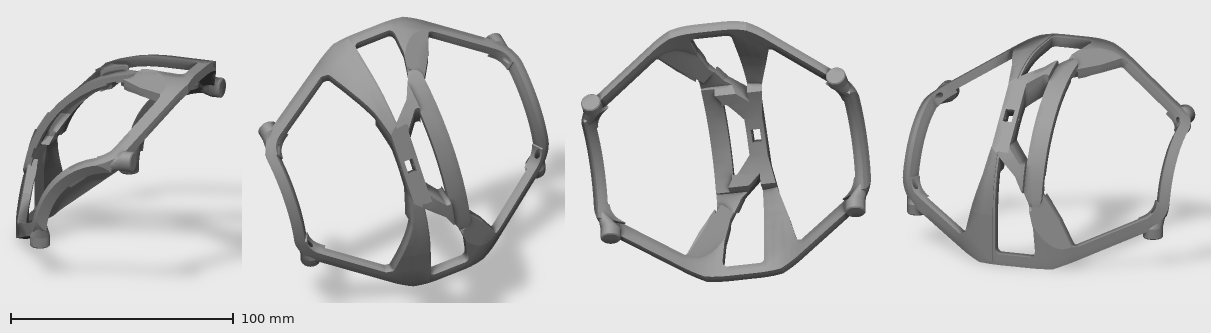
import cadquery as cq
import math


SIZE = 84.48
HALF_WIDTH = 63.5
HEADROOM = 5.0
CORE_DEPTH = 48.0
PRISM_LENGTH = 80.0
STRAIGHT_LENGTH = 40.0

RIB_BEND = 61.5
SIDE_BEND = 66.0
STRAP_BEND = 63.5
BEND_CHANGE_Y = 40.0

CREST_DEPTH = 0.3
CREST_HALF = 7.0
SHOULDER_RADIUS = 36.0
FLANK_ANGLE = math.radians(31.0)
FLANK_SLOPE = math.tan(FLANK_ANGLE)
SHOULDER_Y = CREST_HALF + SHOULDER_RADIUS * math.sin(FLANK_ANGLE)
SHOULDER_DEPTH = CREST_DEPTH + SHOULDER_RADIUS * (1 - math.cos(FLANK_ANGLE))

FRAME_THICK = 4.5
SIDE_THICK = 6.2
SIDE_END_X = 64.0
RIB_FLOOR = 9.5
RELIEF_START = 43.0

RIM_HALF = 17.5
RIM_INNER_X = 79.4
RIM_CORNER = 15.0
WING_KNEE = (81.5, 25.5)
WING_SLOPE = 0.417
WING_WIDTH = 6.3

SIDE_EDGE = 59.4
SIDE_CORNER = 9.0
OPENING_FREE_X = 56.5
WING_TURN_Y = 28.5
RIB_CORNER = 1.5
WINDOW_START_X = 10.0

PLATE_MIN, PLATE_MAX = 5.7, 13.9
PLATE_LEVEL = 20.3
FLAT_LENGTH, FLAT_MARGIN, FLAT_HEIGHT = 50.0, 0.4, 10.0
SLOT_Y = (PLATE_MIN + PLATE_MAX) / 2 + 0.1
SLOT_LENGTH, SLOT_WIDTH, SLOT_DEPTH = 6.2, 4.2, 10.0
PIN_DIAMETER, PIN_DEPTH, PIN_REACH = 1.5, 2.5, 8.0

STRAP_MIN, STRAP_MAX = -11.7, -3.2
STRAP_TOP, STRAP_FLOOR = 2.1, 5.4
STRAP_END = 56.6
STRAP_RUNOUT = 2.6
STRAP_END_DROP = 0.6
STRAP_FREE_START, STRAP_FREE_END = 39.5, 53.5
STRAP_RADIUS = (STRAP_MAX - STRAP_MIN) / 2
STRAP_CENTRE = (STRAP_END - STRAP_RADIUS, (STRAP_MIN + STRAP_MAX) / 2)

STRAIGHT_RIB = [(WINDOW_START_X, PLATE_MAX), (31.5, PLATE_MAX), (43.9, 16.6), (57.0, 21.0), (72.5, 25.5)]
BRANCH_RIB = [(WINDOW_START_X, STRAP_MIN), (51.0, STRAP_MIN), (62.2, -19.2), (74.5, -25.5)]
FALL_EDGE = 5.3
FALL_WIDTH = 9.5
FALL_OVERRUN = 3.0
RIDGE_Y = 10.4
RIDGE_FOOT = 18.0
RIDGE_ROOT = 1.0
RIDGE_END = 83.0

CENTRE_TOP, CENTRE_BOTTOM = 9.5, -9.3
BRANCH_EDGE = [(76.0, -9.6), (65.7, -8.7), (55.0, -5.7), (43.0, 0.9), (34.3, 8.0), (30.0, 9.0)]
CENTRE_CORNER = 2.2
ROOT_EDGE = [(0.0, 15.2), (28.0, 15.2), (45.0, -2.0), (0.0, -2.0)]
ROOT_LEAN, ROOT_DEPTH = 9.5, 30.0
SMALL_END_X = 38.0
SMALL_TURN = [(31.0, PLATE_MIN), (SMALL_END_X, -0.9)]
SMALL_CORNER = 1.0

BOSS_Y, BOSS_Z = 56.1, -28.0
BOSS_DIAMETER = 9.0
BOSS_START, BOSS_END = 68.0, 73.0
BOSS_CHAMFER = 0.5
GUSSET_TIP = (59.0, 60.6, -31.0)
GUSSET_DIAMETER = 2.5
HOLE_Y, HOLE_Z = 56.7, -27.2
HOLE_DIAMETER = 2.6
HOLE_START, HOLE_END = 56.0, 65.0


def flank_depth(y):
    """Depth of the sloping flank at a distance y from the middle."""
    return SHOULDER_DEPTH + (y - SHOULDER_Y) * FLANK_SLOPE


def section(axis):
    """Y-Z plane at the start of a bend."""
    return cq.Workplane("YZ", origin=(axis, 0, 0))


def bend(outline, axis):
    """Run a closed Y-Z outline along X and around the bend, as far as the diagonal plane."""
    wire = outline.val()
    straight = section(axis).add(wire).toPending().extrude(STRAIGHT_LENGTH)
    curved = section(axis).add(wire).toPending().revolve(45, (0, -axis, 0), (-1, -axis, 0))
    return straight.union(curved)


def prism(points):
    """Upright prism through the shell."""
    return cq.Workplane("XY", origin=(0, 0, HEADROOM)).polyline(points).close().extrude(-PRISM_LENGTH)


def round_upright(body, x, y, radius):
    """Round the upright edge of a prism at a corner."""
    middle = (x, y, HEADROOM - PRISM_LENGTH / 2)
    return body.edges(cq.selectors.NearestToPointSelector(middle)).fillet(radius)


def near_x(limit):
    """Block that holds everything up to a given X."""
    return cq.Workplane("XY").box(2 * limit, 4 * HALF_WIDTH, 4 * SIZE)


def middle_block():
    """Block that holds the ribs and leaves out the two sides."""
    return cq.Workplane("XY").box(4 * SIZE, 2 * BEND_CHANGE_Y, 4 * SIZE)


def crest_outline(axis, shift):
    """Area from the outer surface, lowered by shift, down to the core depth."""
    mid_angle = FLANK_ANGLE / 2
    arc_y = CREST_HALF + SHOULDER_RADIUS * math.sin(mid_angle)
    arc_z = -CREST_DEPTH - SHOULDER_RADIUS * (1 - math.cos(mid_angle)) - shift
    crest_z = -CREST_DEPTH - shift
    shoulder_z = -SHOULDER_DEPTH - shift
    end_z = -flank_depth(HALF_WIDTH) - shift
    return (
        section(axis)
        .moveTo(-HALF_WIDTH, end_z)
        .lineTo(-SHOULDER_Y, shoulder_z)
        .threePointArc((-arc_y, arc_z), (-CREST_HALF, crest_z))
        .lineTo(CREST_HALF, crest_z)
        .threePointArc((arc_y, arc_z), (SHOULDER_Y, shoulder_z))
        .lineTo(HALF_WIDTH, end_z)
        .lineTo(HALF_WIDTH, -CORE_DEPTH)
        .lineTo(-HALF_WIDTH, -CORE_DEPTH)
        .close()
    )


def below_surface(axis, shift):
    """Everything under the outer surface, lowered by shift."""
    return bend(crest_outline(axis, shift), axis)


def leaning_wall(edge_y, axis):
    """Space between two side walls, square to the flanks, whose outer edges lie at +-edge_y."""
    top_y = edge_y + FLANK_SLOPE * (flank_depth(edge_y) + HEADROOM)
    low_y = edge_y - FLANK_SLOPE * (CORE_DEPTH - flank_depth(edge_y))
    points = [(-top_y, HEADROOM), (top_y, HEADROOM), (low_y, -CORE_DEPTH), (-low_y, -CORE_DEPTH)]
    return bend(section(axis).polyline(points).close(), axis)


def rib_shell():
    floor_middle = (RIB_FLOOR + CORE_DEPTH) / 2
    floor = section(RIB_BEND).moveTo(0, -floor_middle).rect(2 * HALF_WIDTH, CORE_DEPTH - RIB_FLOOR)
    core = below_surface(RIB_BEND, FRAME_THICK).intersect(bend(floor, RIB_BEND))
    return below_surface(RIB_BEND, 0).cut(core)


def side_shell():
    body = below_surface(SIDE_BEND, 0).cut(below_surface(SIDE_BEND, SIDE_THICK))
    body = body.cut(crest_outline(SIDE_END_X, FRAME_THICK).extrude(STRAIGHT_LENGTH))
    return body.intersect(leaning_wall(HALF_WIDTH, SIDE_BEND))


def shell():
    return rib_shell().intersect(middle_block()).union(side_shell().cut(middle_block()))


def ridge():
    """Raised edge along the straight rib, tangent-like to the shoulder at its foot."""
    shoulder_reach = math.sqrt(SHOULDER_RADIUS ** 2 - (RIDGE_FOOT - CREST_HALF) ** 2)
    foot_z = shoulder_reach - CREST_DEPTH - SHOULDER_RADIUS
    root_z = foot_z - RIDGE_ROOT
    points = [(RIDGE_Y, 0), (RIDGE_FOOT, foot_z), (RIDGE_FOOT, root_z), (RIDGE_Y, root_z)]
    return bend(section(RIB_BEND).polyline(points).close(), RIB_BEND).intersect(near_x(RIDGE_END))


def rim_blank():
    """Upright prism inside the outer edge of the rim."""
    knee_x, knee_y = WING_KNEE
    side_x = knee_x - (HALF_WIDTH - knee_y) * WING_SLOPE
    half_edge = [(SIZE, RIM_HALF), WING_KNEE, (side_x, HALF_WIDTH), (0, HALF_WIDTH)]
    blank = prism(half_edge + [(x, -y) for x, y in reversed(half_edge)])
    for side in (-1, 1):
        blank = round_upright(blank, side_x, side * HALF_WIDTH, RIM_CORNER)
    return blank


def wing_line(y):
    """X of the inner edge of a wing bar."""
    knee_x, knee_y = WING_KNEE
    return knee_x - WING_WIDTH - (y - knee_y) * WING_SLOPE


def frame_opening(side):
    """Space inside the wing bar and the side; its walls stand square to the sloping flank."""
    start_x = OPENING_FREE_X - 2 * SIDE_CORNER
    outline = [(start_x, 0), (wing_line(0), 0), (wing_line(SIDE_EDGE), SIDE_EDGE), (start_x, SIDE_EDGE)]
    base = [(x, side * (y + FLANK_SLOPE * (flank_depth(y) + HEADROOM))) for x, y in outline]
    wire = cq.Workplane("XY", origin=(0, 0, HEADROOM)).polyline(base).close().val()
    lean = cq.Vector(0, -side * FLANK_SLOPE * PRISM_LENGTH, -PRISM_LENGTH)
    wing = cq.Workplane(cq.Solid.extrudeLinear(wire, [], lean))
    corner = cq.Vector(*base[2], HEADROOM) + lean * 0.5
    wing = wing.edges(cq.selectors.NearestToPointSelector(corner.toTuple())).fillet(SIDE_CORNER)
    return leaning_wall(SIDE_EDGE, SIDE_BEND).intersect(wing.union(near_x(OPENING_FREE_X)))


def side_window(rib_edge, side):
    """Window between a rib edge and the side of the frame."""
    turn = (wing_line(WING_TURN_Y), side * WING_TURN_Y)
    far_edge = [(wing_line(HALF_WIDTH), side * HALF_WIDTH), (WINDOW_START_X, side * HALF_WIDTH)]
    window = prism(rib_edge + [turn] + far_edge)
    for x, y in (rib_edge[-1], turn):
        window = round_upright(window, x, y, RIB_CORNER)
    return window.intersect(frame_opening(side))


def branch_root():
    """Wedge that leans the end of the centre window towards the bend axis."""
    low_edge = [(x + ROOT_LEAN if x > 0 else x, y) for x, y in ROOT_EDGE]
    top = cq.Workplane("XY").polyline(ROOT_EDGE).close()
    return top.workplane(offset=-ROOT_DEPTH).polyline(low_edge).close().loft(ruled=True)


def centre_window():
    """Window between the straight rib, the rim and the branch rib."""
    start_x = BRANCH_EDGE[-1][0]
    rim_edge = [(start_x, CENTRE_TOP), (RIM_INNER_X, CENTRE_TOP), (RIM_INNER_X, CENTRE_BOTTOM)]
    window = prism(rim_edge + BRANCH_EDGE).cut(branch_root())
    for x, y in rim_edge[1:]:
        window = round_upright(window, x, y, CENTRE_CORNER)
    return window


def small_window():
    """Window between the plate, the branch rib and the strap."""
    strap_edge = [(SMALL_END_X, STRAP_MAX), (WINDOW_START_X, STRAP_MAX)]
    window = prism([(WINDOW_START_X, PLATE_MIN)] + SMALL_TURN + strap_edge)
    for x, y in (SMALL_TURN[-1], strap_edge[0]):
        window = round_upright(window, x, y, SMALL_CORNER)
    return window


def strap_plan():
    """Upright prism over the strap, with its rounded end."""
    centre_x = STRAP_CENTRE[0]
    plan = prism([(WINDOW_START_X, STRAP_MIN), (centre_x, STRAP_MIN),
                  (centre_x, STRAP_MAX), (WINDOW_START_X, STRAP_MAX)])
    end = cq.Workplane("XY", origin=(*STRAP_CENTRE, HEADROOM)).circle(STRAP_RADIUS)
    return plan.union(end.extrude(-PRISM_LENGTH))


def strap_recess():
    """Room above the strap, with a sloping run-out around its rounded end."""
    points = [(STRAP_MIN, HEADROOM), (STRAP_MAX, HEADROOM), (STRAP_MAX, -STRAP_TOP), (STRAP_MIN, -STRAP_TOP)]
    band = bend(section(STRAP_BEND).polyline(points).close(), STRAP_BEND)
    low_z = -STRAP_TOP - STRAP_END_DROP
    outer = STRAP_RADIUS + STRAP_RUNOUT
    profile = [(0, low_z), (STRAP_RADIUS, low_z), (outer, -CREST_DEPTH), (outer, HEADROOM), (0, HEADROOM)]
    runout = cq.Workplane("XZ", origin=(*STRAP_CENTRE, 0)).polyline(profile).close()
    return band.intersect(strap_plan()).union(runout.revolve(180, (0, 0, 0), (0, 1, 0)))


def strap_relief():
    """Room under the strap, as far as the branch rib."""
    low_y = STRAP_MIN - FLAT_MARGIN
    points = [(low_y, -STRAP_FLOOR), (STRAP_MAX, -STRAP_FLOOR), (STRAP_MAX, -CORE_DEPTH), (low_y, -CORE_DEPTH)]
    below = bend(section(STRAP_BEND).polyline(points).close(), STRAP_BEND)
    return below.intersect(prism([(WINDOW_START_X, STRAP_MAX), (STRAP_FREE_START, STRAP_MAX),
                                  (STRAP_FREE_END, low_y), (WINDOW_START_X, low_y)]))


def branch_fall():
    """Space above the branch rib where its surface falls towards the side window."""
    (start_x, start_y), (end_x, end_y) = BRANCH_RIB[1], BRANCH_RIB[-1]
    along = cq.Vector(end_x - start_x, end_y - start_y, 0)
    origin = cq.Vector(start_x, start_y, 0) - along.normalized() * FALL_OVERRUN
    plane = cq.Plane(origin=origin, xDir=(start_y - end_y, end_x - start_x, 0), normal=along)
    slope = (FALL_EDGE - CREST_DEPTH) / FALL_WIDTH
    points = [(-FALL_OVERRUN, -FALL_EDGE - FALL_OVERRUN * slope), (FALL_WIDTH, -CREST_DEPTH),
              (FALL_WIDTH, HEADROOM), (-FALL_OVERRUN, HEADROOM)]
    return cq.Workplane(plane).polyline(points).close().extrude(along.Length + 3 * FALL_OVERRUN)


def frame_relief():
    """Room under the rim and under the far ends of the ribs, which are as thin as the frame."""
    below = below_surface(RIB_BEND, FRAME_THICK).cut(near_x(RELIEF_START)).intersect(middle_block())
    return below.cut(branch_fall().translate((0, 0, -FRAME_THICK)))


def boss(side):
    """Round boss along +X with a gusset that tapers into the frame."""
    tip_x, tip_y, tip_z = GUSSET_TIP
    start = cq.Workplane("YZ", origin=(BOSS_START, side * BOSS_Y, BOSS_Z)).circle(BOSS_DIAMETER / 2)
    body = start.extrude(BOSS_END - BOSS_START).faces(">X").chamfer(BOSS_CHAMFER)
    root = cq.Workplane("YZ", origin=(BOSS_START, side * BOSS_Y, BOSS_Z)).circle(BOSS_DIAMETER / 2)
    tip = root.workplane(offset=tip_x - BOSS_START).center(side * (tip_y - BOSS_Y), tip_z - BOSS_Z)
    return body.union(tip.circle(GUSSET_DIAMETER / 2).loft())


def screw_hole(side):
    """Blind hole that opens through the corner of the side window."""
    hole = cq.Workplane("YZ", origin=(HOLE_START, side * HOLE_Y, HOLE_Z))
    return hole.circle(HOLE_DIAMETER / 2).extrude(HOLE_END - HOLE_START)


def on_plate(shape):
    """Move a shape, made at the origin with Z across the plate, onto the flat of the plate."""
    return shape.rotate((0, 0, 0), (0, 1, 0), -45).translate((PLATE_LEVEL, SLOT_Y, -PLATE_LEVEL))


def plate_cuts():
    flat_width = PLATE_MAX - PLATE_MIN + 2 * FLAT_MARGIN
    flat = cq.Workplane("XY").box(FLAT_LENGTH, flat_width, FLAT_HEIGHT, centered=(True, True, False))
    slot = cq.Workplane("XY").box(SLOT_LENGTH, SLOT_WIDTH, 2 * SLOT_DEPTH)
    pin = cq.Workplane("XZ", origin=(0, 0, -PIN_DEPTH)).circle(PIN_DIAMETER / 2)
    return [on_plate(flat), on_plate(slot), on_plate(pin.extrude(PIN_REACH, both=True))]


def upper_half():
    body = shell().union(ridge()).intersect(rim_blank()).cut(frame_relief())
    body = body.cut(side_window(STRAIGHT_RIB, 1)).cut(side_window(BRANCH_RIB, -1))
    body = body.cut(centre_window()).cut(small_window())
    body = body.cut(strap_recess()).cut(strap_relief())
    body = body.cut(branch_fall().cut(strap_plan()))
    for side in (-1, 1):
        body = body.union(boss(side)).cut(screw_hole(side))
    return body


upper = upper_half()
result = upper.union(upper.mirror(cq.Vector(1, 0, 1)))
for cutter in plate_cuts():
    result = result.cut(cutter)